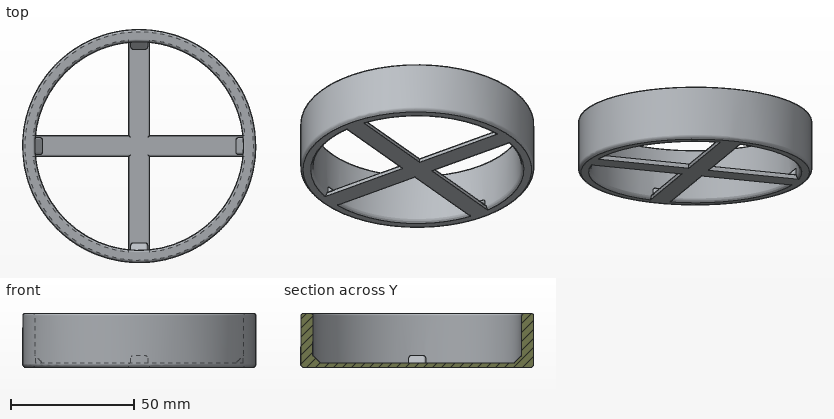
import cadquery as cq

outer_diameter = 94.5
inner_diameter = 84.5
ring_height = 22.0
rim_radius = 0.9
base_chamfer = 0.9
base_blend_radius = 1.2

arm_width = 8.5
arm_thickness = 2.0
arm_edge_radius = 0.8

gusset_width = arm_width - 2 * arm_edge_radius
gusset_length = 3.0
gusset_height = 3.0
gusset_edge_radius = 0.9

inner_radius = inner_diameter / 2
wall = (outer_diameter - inner_diameter) / 2
buried_reach = inner_radius + wall / 2


def make_ring():
    ring = cq.Workplane("XY").circle(outer_diameter / 2).circle(inner_radius).extrude(ring_height)
    ring = ring.faces(">Z").edges().fillet(rim_radius)
    ring = ring.faces("<Z").edges().chamfer(base_chamfer)
    wall_ends = cq.selectors.BoxSelector(
        (-outer_diameter, -outer_diameter, base_chamfer / 2),
        (outer_diameter, outer_diameter, 2 * base_chamfer),
        boundingbox=True,
    )
    return ring.edges(wall_ends).edges("%CIRCLE").fillet(base_blend_radius)


def make_cross():
    lengthwise = cq.Workplane("XY").rect(2 * buried_reach, arm_width)
    crosswise = cq.Workplane("XY").rect(arm_width, 2 * buried_reach)
    cross = lengthwise.extrude(arm_thickness).union(crosswise.extrude(arm_thickness))
    return cross.faces(">Z").edges().fillet(arm_edge_radius)


def make_gusset():
    """Wedge on the +X arm, rising outward to the ring wall."""
    toe = inner_radius - gusset_length
    slope = gusset_height / gusset_length
    buried_top = arm_thickness + slope * (buried_reach - toe)
    wedge = (
        cq.Workplane("XZ")
        .moveTo(toe, arm_thickness)
        .lineTo(buried_reach, buried_top)
        .lineTo(buried_reach, arm_thickness)
        .close()
        .extrude(gusset_width / 2, both=True)
    )
    sloping_edges = wedge.edges("not(|X or |Y or |Z)")
    return sloping_edges.fillet(gusset_edge_radius)


result = make_ring().union(make_cross())
for quarter in range(4):
    result = result.union(make_gusset().rotate((0, 0, 0), (0, 0, 1), 90 * quarter))